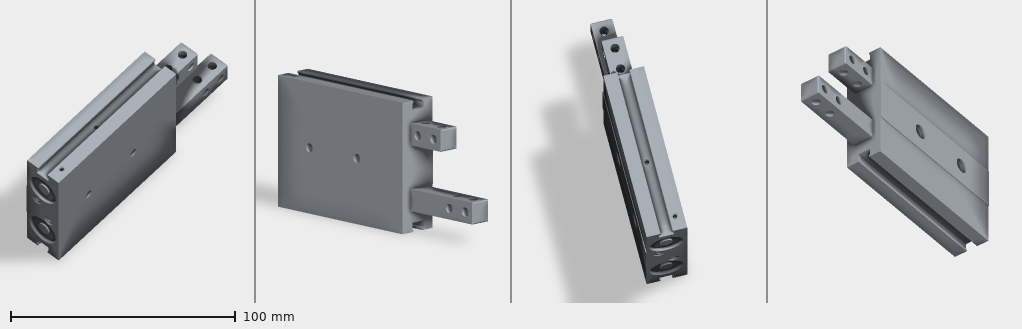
import cadquery as cq


HOUSING_LENGTH = 79.0
HOUSING_HEIGHT = 60.0
OVERALL_WIDTH = 19.0
PAD_THICKNESS = 0.4
PAD_HEIGHT = 20.0
PAD_X = -OVERALL_WIDTH / 2
TOP_Z = HOUSING_HEIGHT / 2

SLOT_OPENING = 5.5
SLOT_EDGE_CHAMFER = 0.2
SLOT_FLOOR_CHAMFER = 0.2
SLOT_WIDTH = 6.9
SLOT_DEPTH = 4.3
SLOT_LIP = 0.8
SLOT_FLARE = (SLOT_WIDTH - SLOT_OPENING) / 2

CYLINDER_SPACING = 30.5
BORE_DIAMETER = 15.0
BORE_DEPTH = 4.8
BORE_MOUTH_DIAMETER = 15.5
CAP_RECESS = 1.5
CAP_BOSS_DIAMETER = 6.0
CAP_BOSS_HEIGHT = 1.0

PORT_X = 3.5
PORT_Z = 5.0
PORT_MOUTH_DIAMETER = 5.0
PORT_SEAT_DIAMETER = 4.2
PORT_DIAMETER = 2.6
PORT_SEAT_DEPTH = (PORT_MOUTH_DIAMETER - PORT_SEAT_DIAMETER) / 2
PORT_DEPTH = 7.1

MOUNT_Y = (20.0, 50.0)
MOUNT_DIAMETER = 4.2
MOUNT_ENTRY_DIAMETER = 5.0
MOUNT_COUNTERBORE_DIAMETER = 7.0
MOUNT_COUNTERBORE_DEPTH = 1.5
MOUNT_ENTRY_DEPTH = (MOUNT_ENTRY_DIAMETER - MOUNT_DIAMETER) / 2

SMALL_HOLES = (
    (0, 36.0, TOP_Z - SLOT_DEPTH),
    (5.5, 6.5, TOP_Z),
)
SMALL_MOUTH_DIAMETER = 3.0
SMALL_SEAT_DIAMETER = 2.6
SMALL_HOLE_DIAMETER = 2.0
SMALL_HOLE_DEPTH = 3.0
SMALL_SEAT_DEPTH = (SMALL_MOUTH_DIAMETER - SMALL_SEAT_DIAMETER) / 2

FINGER_SECTION = 10.0
FINGER_SPACING = 30.0
LONG_FINGER = 40.0
SHORT_FINGER = 20.0
FINGER_CHAMFER = 0.5
FINGER_HOLE_DIAMETER = 4.2
FINGER_HOLE_FROM_TIP = 5.0
FINGER_HOLE_PITCH = 10.0
FINGER_HOLE_COUNT = 2

X_AXIS = cq.Vector(1, 0, 0)
Y_AXIS = cq.Vector(0, 1, 0)
DOWN = cq.Vector(0, 0, -1)


def cylinder(diameter, length, start, direction):
    """Round solid starting at a point and running along a direction."""
    return cq.Workplane(cq.Solid.makeCylinder(diameter / 2, length, cq.Vector(*start), direction))


def cone(start_diameter, end_diameter, length, start, direction):
    """Tapered solid starting at a point and running along a direction."""
    return cq.Workplane(
        cq.Solid.makeCone(start_diameter / 2, end_diameter / 2, length, cq.Vector(*start), direction)
    )


def rail_slot():
    """Undercut slot with bevelled edges, open at the top face and running the full length."""
    half_opening = SLOT_OPENING / 2
    half_mouth = half_opening + SLOT_EDGE_CHAMFER
    half_width = SLOT_WIDTH / 2
    half_floor = half_width - SLOT_FLOOR_CHAMFER
    lip_z = TOP_Z - SLOT_LIP
    shoulder_z = lip_z - SLOT_FLARE
    floor_z = TOP_Z - SLOT_DEPTH
    return (
        cq.Workplane("XZ")
        .polyline([
            (-half_mouth, TOP_Z),
            (-half_opening, TOP_Z - SLOT_EDGE_CHAMFER),
            (-half_opening, lip_z),
            (-half_width, shoulder_z),
            (-half_width, floor_z + SLOT_FLOOR_CHAMFER),
            (-half_floor, floor_z),
            (half_floor, floor_z),
            (half_width, floor_z + SLOT_FLOOR_CHAMFER),
            (half_width, shoulder_z),
            (half_opening, lip_z),
            (half_opening, TOP_Z - SLOT_EDGE_CHAMFER),
            (half_mouth, TOP_Z),
        ])
        .close()
        .extrude(-HOUSING_LENGTH)
    )


def housing_blank():
    """Rectangular block with the raised mounting pad on its -X side."""
    block_width = OVERALL_WIDTH - PAD_THICKNESS
    block = cq.Workplane("XY").box(
        block_width, HOUSING_LENGTH, HOUSING_HEIGHT, centered=(False, False, True)
    ).translate((PAD_X + PAD_THICKNESS, 0, 0))
    pad = cq.Workplane("XY").box(
        OVERALL_WIDTH, HOUSING_LENGTH, PAD_HEIGHT, centered=(False, False, True)
    ).translate((PAD_X, 0, 0))
    return block.union(pad)


def cap_bore(z):
    """Blind bore for an end cap, with a chamfered mouth."""
    mouth_depth = (BORE_MOUTH_DIAMETER - BORE_DIAMETER) / 2
    bore = cylinder(BORE_DIAMETER, BORE_DEPTH, (0, 0, z), Y_AXIS)
    return bore.union(cone(BORE_MOUTH_DIAMETER, BORE_DIAMETER, mouth_depth, (0, 0, z), Y_AXIS))


def air_port(x, z):
    """Port hole with a tapered seat in the rear face."""
    seat = cone(PORT_MOUTH_DIAMETER, PORT_SEAT_DIAMETER, PORT_SEAT_DEPTH, (x, 0, z), Y_AXIS)
    return seat.union(cylinder(PORT_DIAMETER, PORT_DEPTH, (x, 0, z), Y_AXIS))


def mounting_hole(y):
    """Counterbored through hole with a chamfered entry below the counterbore."""
    start = (PAD_X, y, 0)
    entry_start = (PAD_X + MOUNT_COUNTERBORE_DEPTH, y, 0)
    hole = cylinder(MOUNT_DIAMETER, OVERALL_WIDTH, start, X_AXIS)
    counterbore = cylinder(MOUNT_COUNTERBORE_DIAMETER, MOUNT_COUNTERBORE_DEPTH, start, X_AXIS)
    entry = cone(MOUNT_ENTRY_DIAMETER, MOUNT_DIAMETER, MOUNT_ENTRY_DEPTH, entry_start, X_AXIS)
    return hole.union(counterbore).union(entry)


def small_hole(start):
    """Small blind hole from above with a tapered seat at its mouth."""
    seat = cone(SMALL_MOUTH_DIAMETER, SMALL_SEAT_DIAMETER, SMALL_SEAT_DEPTH, start, DOWN)
    return seat.union(cylinder(SMALL_HOLE_DIAMETER, SMALL_HOLE_DEPTH, start, DOWN))


def make_housing():
    """Slotted block with bores, ports and mounting holes."""
    slot = rail_slot()
    housing = housing_blank().cut(slot).cut(slot.mirror("XY"))
    for side in (-1, 1):
        housing = housing.cut(cap_bore(side * CYLINDER_SPACING / 2))
        housing = housing.cut(air_port(side * PORT_X, -side * PORT_Z))
    for y in MOUNT_Y:
        housing = housing.cut(mounting_hole(y))
    for start in SMALL_HOLES:
        housing = housing.cut(small_hole(start))
    return housing


def make_end_cap(z):
    """Disc filling the bore below its mouth, with a low round boss outside."""
    disc = cylinder(BORE_DIAMETER, BORE_DEPTH - CAP_RECESS, (0, CAP_RECESS, z), Y_AXIS)
    boss_start = (0, CAP_RECESS - CAP_BOSS_HEIGHT, z)
    return disc.union(cylinder(CAP_BOSS_DIAMETER, CAP_BOSS_HEIGHT, boss_start, Y_AXIS))


def make_finger(length, z):
    """Square bar on the housing's front face, cross-drilled both ways near its tip."""
    finger = (
        cq.Workplane("XY")
        .box(FINGER_SECTION, length, FINGER_SECTION, centered=(True, False, True))
        .faces(">Y")
        .chamfer(FINGER_CHAMFER)
    )
    half = FINGER_SECTION / 2
    for index in range(FINGER_HOLE_COUNT):
        y = length - FINGER_HOLE_FROM_TIP - index * FINGER_HOLE_PITCH
        finger = finger.cut(cylinder(FINGER_HOLE_DIAMETER, FINGER_SECTION, (-half, y, 0), X_AXIS))
        finger = finger.cut(cylinder(FINGER_HOLE_DIAMETER, FINGER_SECTION, (0, y, half), DOWN))
    return finger.translate((0, HOUSING_LENGTH, z))


housing = make_housing()
end_caps = [make_end_cap(side * CYLINDER_SPACING / 2) for side in (-1, 1)]
long_finger = make_finger(LONG_FINGER, -FINGER_SPACING / 2)
short_finger = make_finger(SHORT_FINGER, FINGER_SPACING / 2)

result = cq.Compound.makeCompound([
    housing.val(),
    *[cap.val() for cap in end_caps],
    long_finger.val(),
    short_finger.val(),
])